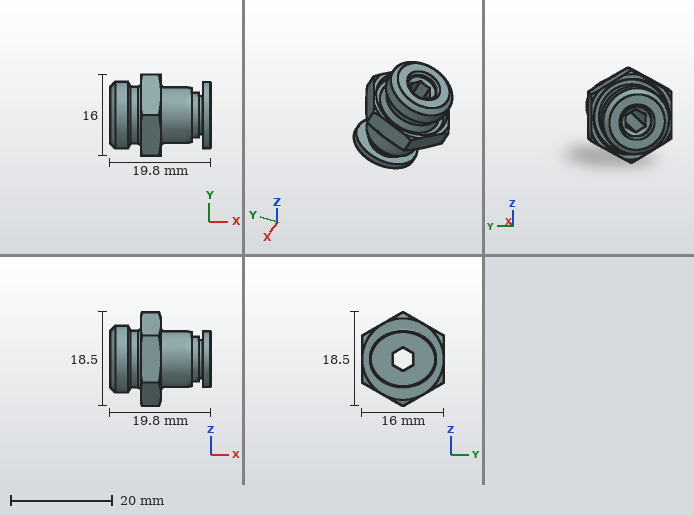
import cadquery as cq
import math

length = 19.75
thread_chamfer_end = 1.0
thread_end = 3.45
neck_start = 3.99
neck_end = 5.5
neck_flare_angle = 25.0
nut_start = 6.0
nut_end = 10.0
nut_fillet = 0.51
body_taper_start = 15.01
body_end = 16.04
collar_end = 17.42
stem_end = 18.1
flange_start = 18.2

thread_diameter = 13.15
thread_face_diameter = 11.06
neck_diameter = 11.22
body_diameter = 11.0
body_end_diameter = 10.59
collar_diameter = 8.8
stem_diameter = 7.55
stem_flare_diameter = 7.78

nut_across_flats = 16.0
nut_front_face_diameter = 16.98
nut_back_face_diameter = nut_across_flats
nut_front_angle = 20.0
nut_back_angle = 19.0

recess_depth = 1.0
recess_mouth_diameter = 15.13
recess_floor_diameter = 14.54

flange_width = 13.04
flange_height = 11.02
flange_chamfer = 0.2

bore_mouth_diameter = 7.03
bore_diameter = 6.0
bore_chamfer_depth = 0.5
bore_depth = 1.0
drill_tip_angle = 120.0
key_across_flats = 3.99


def revolve_about_x(profile):
    """Spin a closed (x, radius) outline about the fitting axis."""
    return profile.close().revolve(360, (0, 0, 0), (1, 0, 0))


def across_corners(across_flats):
    """Corner-to-corner size of a regular hexagon."""
    return across_flats / math.cos(math.pi / 6)


def hexagon_bar(across_flats, start, end):
    """Hexagonal bar along X with two corners pointing up and down."""
    return (
        cq.Workplane("YZ", origin=(start, 0, 0))
        .transformed(rotate=(0, 0, 90))
        .polygon(6, across_corners(across_flats))
        .extrude(end - start)
    )


def make_nut():
    """Hexagon with conical corner chamfers and a dished front face."""
    corner_radius = across_corners(nut_across_flats) / 2
    front_radius = nut_front_face_diameter / 2
    back_radius = nut_back_face_diameter / 2
    front_slope = math.tan(math.radians(nut_front_angle))
    back_slope = math.tan(math.radians(nut_back_angle))
    envelope = revolve_about_x(
        cq.Workplane("XY")
        .moveTo(nut_start, 0)
        .lineTo(nut_start, front_radius)
        .lineTo(nut_start + (corner_radius - front_radius) * front_slope, corner_radius)
        .lineTo(nut_end - (corner_radius - back_radius) * back_slope, corner_radius)
        .lineTo(nut_end, back_radius)
        .lineTo(nut_end, 0)
    )
    recess = revolve_about_x(
        cq.Workplane("XY")
        .moveTo(nut_start, 0)
        .lineTo(nut_start, recess_mouth_diameter / 2)
        .lineTo(nut_start + recess_depth, recess_floor_diameter / 2)
        .lineTo(nut_start + recess_depth, 0)
    )
    return hexagon_bar(nut_across_flats, nut_start, nut_end).intersect(envelope).cut(recess)


def make_turned_body():
    """Threaded end, undercut neck, tube body, collar and stem in one outline."""
    neck_radius = neck_diameter / 2
    body_radius = body_diameter / 2
    recess_floor = nut_start + recess_depth
    flare_slope = math.tan(math.radians(neck_flare_angle))
    neck_flare_radius = neck_radius + (recess_floor - neck_end) * flare_slope
    arc_offset = 1 - math.sqrt(0.5)
    return revolve_about_x(
        cq.Workplane("XY")
        .lineTo(0, thread_face_diameter / 2)
        .lineTo(thread_chamfer_end, thread_diameter / 2)
        .lineTo(thread_end, thread_diameter / 2)
        .lineTo(neck_start, neck_radius)
        .lineTo(neck_end, neck_radius)
        .lineTo(recess_floor, neck_flare_radius)
        .lineTo(nut_end, neck_flare_radius)
        .lineTo(nut_end, body_radius + nut_fillet)
        .threePointArc(
            (nut_end + nut_fillet * arc_offset, body_radius + nut_fillet * arc_offset),
            (nut_end + nut_fillet, body_radius),
        )
        .lineTo(body_taper_start, body_radius)
        .lineTo(body_end, body_end_diameter / 2)
        .lineTo(body_end, collar_diameter / 2)
        .lineTo(collar_end, collar_diameter / 2)
        .lineTo(collar_end, stem_diameter / 2)
        .lineTo(stem_end, stem_diameter / 2)
        .lineTo(flange_start, stem_flare_diameter / 2)
        .lineTo(flange_start, 0)
    )


def make_flange():
    """Oval push flange with a chamfered outer rim."""
    return (
        cq.Workplane("YZ", origin=(flange_start, 0, 0))
        .ellipse(flange_width / 2, flange_height / 2)
        .extrude(length - flange_start)
        .faces(">X")
        .chamfer(flange_chamfer)
    )


def make_passage():
    """Chamfered drilled bore with a conical bottom, then a hexagonal key hole through."""
    bore_radius = bore_diameter / 2
    tip_depth = bore_radius / math.tan(math.radians(drill_tip_angle / 2))
    bore = revolve_about_x(
        cq.Workplane("XY")
        .lineTo(0, bore_mouth_diameter / 2)
        .lineTo(bore_chamfer_depth, bore_radius)
        .lineTo(bore_depth, bore_radius)
        .lineTo(bore_depth + tip_depth, 0)
    )
    return bore.union(hexagon_bar(key_across_flats, 0, length))


result = make_turned_body().union(make_nut()).union(make_flange()).cut(make_passage())